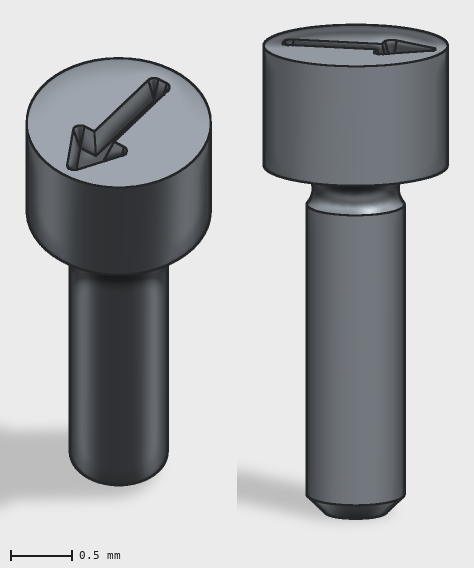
import cadquery as cq
import math

total_height = 3.9
head_diameter = 1.5
head_height = 1.0
shank_diameter = 0.8
tip_chamfer = 0.15

neck_diameter = 0.702
neck_groove_radius = 0.2

arrow_depth = 0.2
arrow_wall_flare = 0.06
arrow_stem_width = 0.08
arrow_stem_end_y = 0.542
arrow_shoulder_y = -0.257
arrow_head_width = 0.398
arrow_point_y = -0.61


def turned_body():
    """Head, relief neck and chamfered shank as one revolved profile."""
    head_radius = head_diameter / 2
    shank_radius = shank_diameter / 2
    head_bottom = total_height - head_height

    groove_center_r = neck_diameter / 2 + neck_groove_radius
    groove_center_z = head_bottom - neck_groove_radius
    groove_drop = math.sqrt(neck_groove_radius**2 - (groove_center_r - shank_radius) ** 2)

    return (
        cq.Workplane("XZ")
        .lineTo(shank_radius - tip_chamfer, 0)
        .lineTo(shank_radius, tip_chamfer)
        .lineTo(shank_radius, groove_center_z - groove_drop)
        .threePointArc((neck_diameter / 2, groove_center_z), (groove_center_r, head_bottom))
        .lineTo(head_radius, head_bottom)
        .lineTo(head_radius, total_height)
        .lineTo(0, total_height)
        .close()
        .revolve(360, (0, 0, 0), (0, 1, 0))
    )


def arrow_cutter():
    """Arrow with a sharp-cornered floor and walls that flare outward to the top face."""
    half_stem = arrow_stem_width / 2
    half_head = arrow_head_width / 2
    floor_outline = [
        (-half_stem, arrow_stem_end_y),
        (-half_stem, arrow_shoulder_y),
        (-half_head, arrow_shoulder_y),
        (0, arrow_point_y),
        (half_head, arrow_shoulder_y),
        (half_stem, arrow_shoulder_y),
        (half_stem, arrow_stem_end_y),
    ]
    flare_angle = math.degrees(math.atan(arrow_wall_flare / arrow_depth))
    return (
        cq.Workplane("XY")
        .workplane(offset=total_height - arrow_depth)
        .polyline(floor_outline)
        .close()
        .extrude(arrow_depth, taper=-flare_angle)
    )


result = turned_body().cut(arrow_cutter())